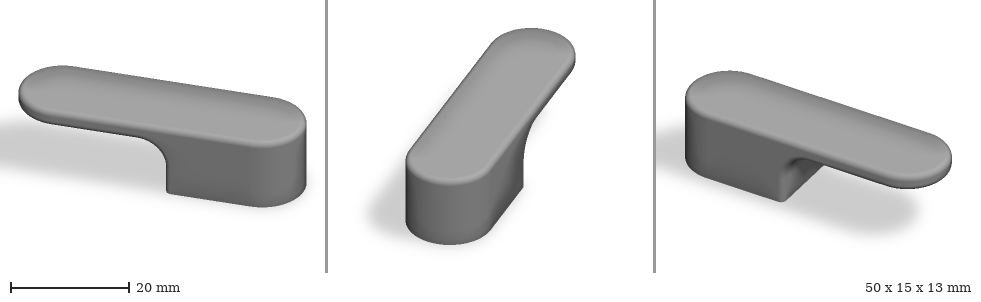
import cadquery as cq

length = 50.0
width = 15.0
height = 13.0

arm_thickness = 3.0
foot_start = 27.5
bend_radius = 5.0
edge_radius = 1.0

arm_underside = height - arm_thickness
tip_x = -length / 2
foot_x = tip_x + foot_start


def rounded_bar():
    """Full-height bar with semicircular ends, standing on Z = 0."""
    return cq.Workplane("XY").slot2D(length, width).extrude(height)


def finger_space():
    """Volume cleared below the arm, with a concave bend at its inner corner."""
    return (
        cq.Workplane("XZ")
        .moveTo(tip_x, 0)
        .lineTo(foot_x, 0)
        .lineTo(foot_x, arm_underside - bend_radius)
        .radiusArc((foot_x - bend_radius, arm_underside), -bend_radius)
        .lineTo(tip_x, arm_underside)
        .close()
        .extrude(width / 2, both=True)
    )


lever = rounded_bar().cut(finger_space())

lever = lever.faces(">Z").edges().fillet(edge_radius)

underside_zone = cq.selectors.BoxSelector(
    (tip_x - edge_radius, -width, edge_radius),
    (foot_x + edge_radius, width, arm_underside + edge_radius / 2),
)
result = lever.edges(underside_zone).edges("not |Y").fillet(edge_radius)